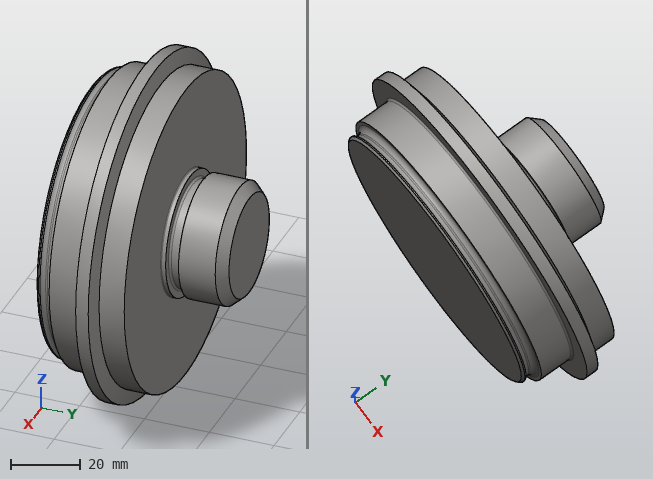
import cadquery as cq
import math

LIP_CHAMFER_END = 0.7
GROOVE_FLOOR_START = 2.6
GROOVE_FLOOR_END = 3.1
BODY_START = 4.9
FLANGE_START = 15.9
FLANGE_RIM_END = 19.8
FLANGE_CONE_END = 21.3
DISC_END = 29.0
COLLAR_END = 30.5
HEAD_START = 34.3
HEAD_CHAMFER_START = 45.6
OVERALL_LENGTH = 48.7

FACE_RADIUS = 84.5 / 2
LIP_RADIUS = 85.9 / 2
GROOVE_RADIUS = FACE_RADIUS
BODY_RADIUS = 90.5 / 2
FLANGE_RADIUS = 104.8 / 2
DISC_RADIUS = 95.2 / 2
COLLAR_RADIUS = 38.1 / 2
NECK_RADIUS = 32.5 / 2
HEAD_RADIUS = 37.1 / 2
HEAD_END_RADIUS = 15.7

CORNER_FILLET = 0.6
COLLAR_FILLET = 0.2
GROOVE_FILLET = BODY_START - GROOVE_FLOOR_END


def corner_arc(profile, center, radius, start_angle, end_angle):
    """Add an arc from the current point, given its center and angles in degrees."""
    def on_arc(angle):
        turn = math.radians(angle)
        return (center[0] + radius * math.cos(turn), center[1] + radius * math.sin(turn))

    return profile.threePointArc(on_arc((start_angle + end_angle) / 2), on_arc(end_angle))


def fillet_out_to_in(profile, wall_radius, face_y, fillet):
    """Run along a face facing +y, then round into the cylinder standing on it."""
    center = (wall_radius + fillet, face_y + fillet)
    profile = profile.lineTo(center[0], face_y)
    return corner_arc(profile, center, fillet, 270, 180)


def fillet_in_to_out(profile, wall_radius, face_y, fillet):
    """Run along a cylinder, then round out onto a face facing -y."""
    center = (wall_radius + fillet, face_y - fillet)
    profile = profile.lineTo(wall_radius, center[1])
    return corner_arc(profile, center, fillet, 180, 90)


profile = cq.Workplane("XY").moveTo(0, 0).lineTo(FACE_RADIUS, 0)

flare_angle = math.degrees(math.acos(1 - (LIP_RADIUS - GROOVE_RADIUS) / GROOVE_FILLET))
flare_start_y = GROOVE_FLOOR_START - GROOVE_FILLET * math.sin(math.radians(flare_angle))
flare_center = (GROOVE_RADIUS + GROOVE_FILLET, GROOVE_FLOOR_START)
profile = profile.lineTo(LIP_RADIUS, LIP_CHAMFER_END).lineTo(LIP_RADIUS, flare_start_y)
profile = corner_arc(profile, flare_center, GROOVE_FILLET, 180 + flare_angle, 180)

profile = fillet_in_to_out(profile, GROOVE_RADIUS, BODY_START, GROOVE_FILLET)
profile = profile.lineTo(BODY_RADIUS, BODY_START)
profile = fillet_in_to_out(profile, BODY_RADIUS, FLANGE_START, CORNER_FILLET)
profile = (
    profile.lineTo(FLANGE_RADIUS, FLANGE_START)
    .lineTo(FLANGE_RADIUS, FLANGE_RIM_END)
    .lineTo(DISC_RADIUS, FLANGE_CONE_END)
    .lineTo(DISC_RADIUS, DISC_END)
)

profile = fillet_out_to_in(profile, COLLAR_RADIUS, DISC_END, COLLAR_FILLET)
profile = profile.lineTo(COLLAR_RADIUS, COLLAR_END)
profile = fillet_out_to_in(profile, NECK_RADIUS, COLLAR_END, CORNER_FILLET)
profile = fillet_in_to_out(profile, NECK_RADIUS, HEAD_START, CORNER_FILLET)
profile = (
    profile.lineTo(HEAD_RADIUS, HEAD_START)
    .lineTo(HEAD_RADIUS, HEAD_CHAMFER_START)
    .lineTo(HEAD_END_RADIUS, OVERALL_LENGTH)
    .lineTo(0, OVERALL_LENGTH)
    .close()
)

result = profile.revolve(360, (0, 0), (0, 1))